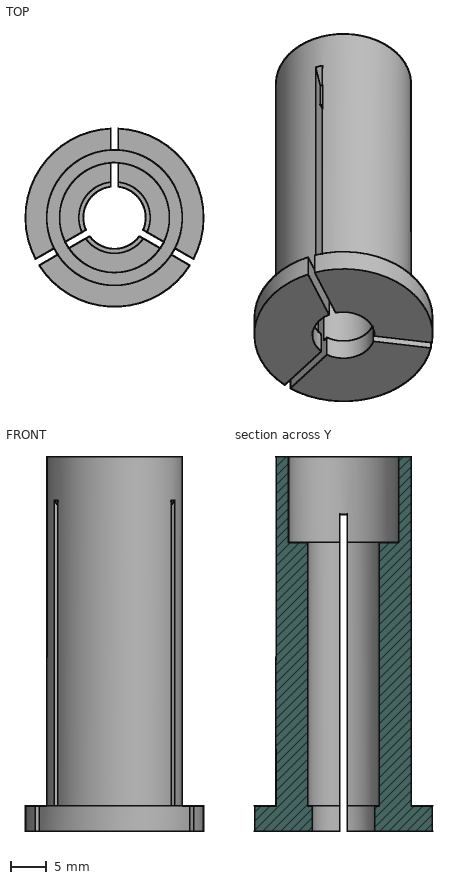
import cadquery as cq
import math

height = 52.5
flange_diameter = 25.0
flange_thickness = 3.6
tube_diameter = 19.0

socket_diameter = 15.4
socket_depth = 12.0
clearance_diameter = 10.0
foot_bore_diameter = 8.7

slot_count = 3
slot_width = 1.0
slot_top_margin = 6.1
roof_slope_angle = 48.0
first_slot_angle = 90.0

tube_radius = tube_diameter / 2
flange_radius = flange_diameter / 2
socket_floor = height - socket_depth
slot_top = height - slot_top_margin


def cylinder(diameter, bottom, top):
    return cq.Workplane("XY").workplane(offset=bottom).circle(diameter / 2).extrude(top - bottom)


def sleeve():
    body = cylinder(tube_diameter, 0, height).union(cylinder(flange_diameter, 0, flange_thickness))
    body = body.cut(cylinder(socket_diameter, socket_floor, height))
    body = body.cut(cylinder(clearance_diameter, flange_thickness, socket_floor))
    return body.cut(cylinder(foot_bore_diameter, 0, flange_thickness))


def slot_cutter(angle):
    roof_drop = tube_radius * math.tan(math.radians(roof_slope_angle))
    outline = [
        (0, 0),
        (flange_radius, 0),
        (flange_radius, slot_top),
        (tube_radius, slot_top),
        (0, slot_top - roof_drop),
    ]
    cutter = cq.Workplane("XZ").polyline(outline).close().extrude(slot_width / 2, both=True)
    return cutter.rotate((0, 0, 0), (0, 0, 1), angle)


result = sleeve()
for index in range(slot_count):
    result = result.cut(slot_cutter(first_slot_angle + index * 360 / slot_count))